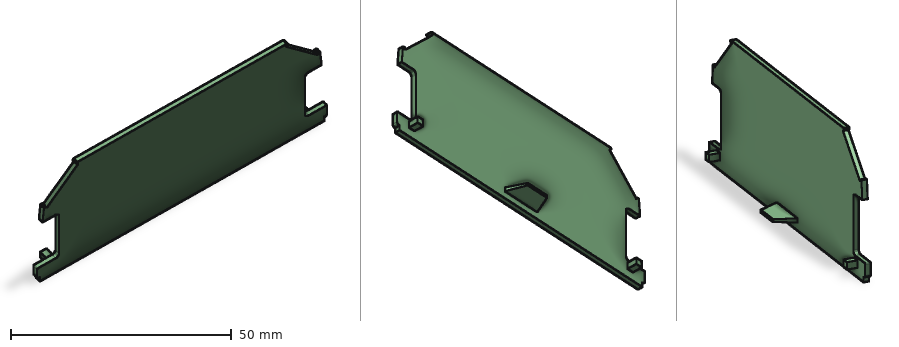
import cadquery as cq

plate_thickness = 1.4
plate_height = 33.9

foot_half_width = 41.1
foot_top = 4.9
foot_corner_radius = 0.25
base_half_width = 40.3
base_step_height = 1.3
foot_round_start = 2.0
foot_round_bulge = 0.205

waist_half_width = 34.85
notch_top = 19.8
notch_radius = 1.0

arm_bottom_half_width = 39.5
arm_top_half_width = 39.1
arm_top = 24.5
shoulder_bottom = (38.3, 24.1)
shoulder_top = (29.4, 33.05)
arm_lip_width = 0.6
top_lip_half_width = 30.0
top_lip_height = 0.3
top_edge_half_width = 29.7

peg_size = 1.8
peg_length = 2.7
peg_offset = 36.25
peg_center_height = 3.4

tab_length = 5.1
tab_base_width = 10.8
tab_tip_width = 6.4
tab_base_top = 3.05
tab_tip_top = 2.9
tab_base_bottom = 2.0
tab_tip_bottom = 2.2


def half_plate():
    """Half of the plate on the +Y side, with its front face at X = 0."""
    return (
        cq.Workplane("YZ")
        .lineTo(base_half_width, 0)
        .lineTo(base_half_width, base_step_height)
        .threePointArc(
            (foot_half_width - foot_round_bulge, base_step_height + foot_round_bulge),
            (foot_half_width, foot_round_start),
        )
        .lineTo(foot_half_width, foot_top - foot_corner_radius)
        .radiusArc((foot_half_width - foot_corner_radius, foot_top), -foot_corner_radius)
        .lineTo(waist_half_width + notch_radius, foot_top)
        .radiusArc((waist_half_width, foot_top + notch_radius), notch_radius)
        .lineTo(waist_half_width, notch_top - notch_radius)
        .radiusArc((waist_half_width + notch_radius, notch_top), notch_radius)
        .lineTo(arm_bottom_half_width, notch_top)
        .lineTo(arm_top_half_width, arm_top)
        .lineTo(arm_top_half_width - arm_lip_width, arm_top)
        .lineTo(*shoulder_bottom)
        .lineTo(*shoulder_top)
        .lineTo(top_lip_half_width, plate_height - top_lip_height)
        .lineTo(top_edge_half_width, plate_height)
        .lineTo(0, plate_height)
        .close()
        .extrude(plate_thickness)
    )


def peg(y):
    """Square peg reaching out from the front face."""
    return (
        cq.Workplane("YZ")
        .center(y, peg_center_height)
        .rect(peg_size, peg_size)
        .extrude(-peg_length)
    )


def tab():
    """Side profile of the tab, trimmed to its tapered plan outline."""
    profile = (
        cq.Workplane("XZ")
        .moveTo(0, tab_base_bottom)
        .lineTo(0, tab_base_top)
        .lineTo(-tab_length, tab_tip_top)
        .lineTo(-tab_length, tab_tip_bottom)
        .close()
        .extrude(tab_base_width / 2, both=True)
    )
    plan = (
        cq.Workplane("XY")
        .polyline([
            (0, -tab_base_width / 2),
            (0, tab_base_width / 2),
            (-tab_length, tab_tip_width / 2),
            (-tab_length, -tab_tip_width / 2),
        ])
        .close()
        .extrude(plate_height)
    )
    return profile.intersect(plan)


right_half = half_plate()
result = right_half.union(right_half.mirror("XZ")).clean()
for side in (-1, 1):
    result = result.union(peg(side * peg_offset))
result = result.union(tab())